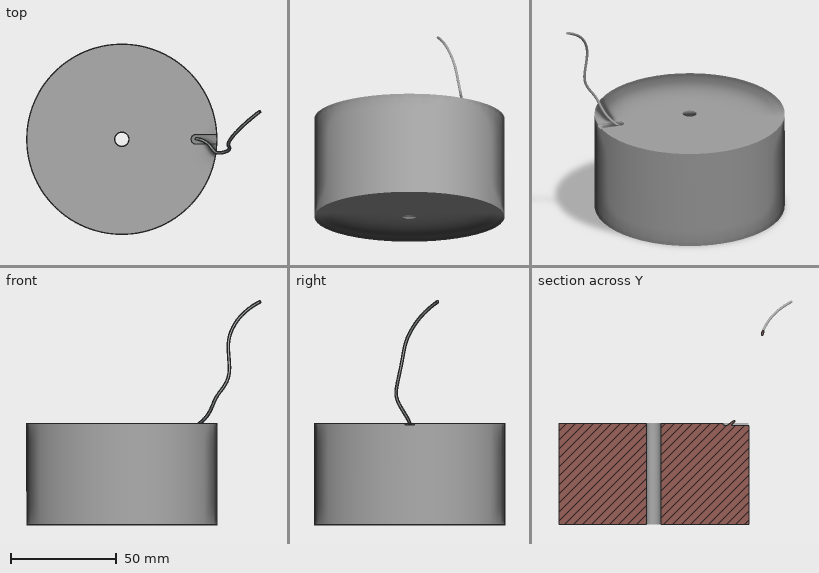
import cadquery as cq

drum_diameter = 90.0
drum_height = 48.0
bore_diameter = 6.6

slot_width = 4.6
slot_depth = 0.9
slot_inner_end = 32.8
slot_floor_fillet = 0.8

wire_diameter = 1.2
wire_path_points = [
    (35.0, 0.2, 46.7),
    (38.7, -0.8, 49.8),
    (41.8, -3.3, 54.1),
    (44.8, -6.3, 60.6),
    (47.9, -6.2, 65.0),
    (50.4, -5.2, 69.9),
    (50.7, -3.5, 78.0),
    (50.5, -1.7, 86.8),
    (52.5, 1.4, 93.2),
    (57.2, 6.4, 99.7),
    (65.3, 13.2, 105.5),
]


def make_drum():
    drum = cq.Workplane("XY").circle(drum_diameter / 2).extrude(drum_height)
    return drum.faces(">Z").workplane().hole(bore_diameter)


def make_slot_cutter():
    """Round-ended groove with a rounded floor edge, running out past the rim."""
    slot_length = drum_diameter / 2 - slot_inner_end + slot_width
    return (
        cq.Workplane("XY", origin=(slot_inner_end + slot_length / 2, 0, drum_height - slot_depth))
        .slot2D(slot_length, slot_width)
        .extrude(slot_depth)
        .faces("<Z")
        .edges()
        .fillet(slot_floor_fillet)
    )


def make_wire():
    """Round wire that starts in the slot floor and rises along a smooth curve."""
    path = cq.Workplane("XY").spline(wire_path_points)
    start_plane = cq.Plane(
        origin=wire_path_points[0],
        normal=path.val().tangentAt(0).toTuple(),
    )
    return cq.Workplane(start_plane).circle(wire_diameter / 2).sweep(path)


result = make_drum().cut(make_slot_cutter()).union(make_wire())